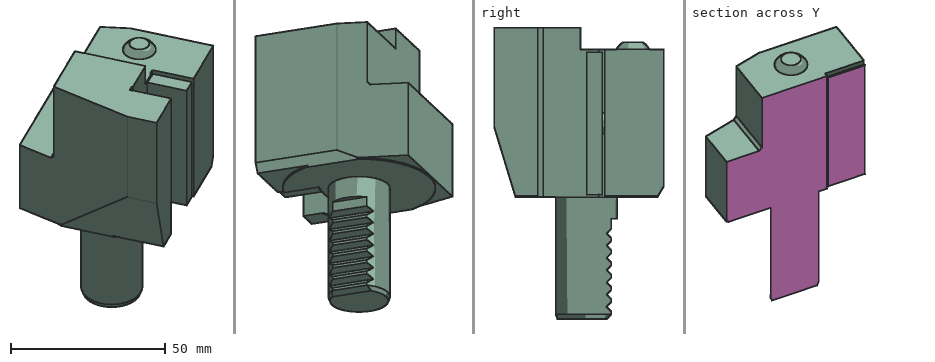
import cadquery as cq
import math

SHANK_DIAMETER = 20.0
TOTAL_HEIGHT = 94.5
HEAD_HEIGHT = 55.0
SHANK_LENGTH = TOTAL_HEIGHT - HEAD_HEIGHT
SHANK_CHAMFER_HEIGHT = 1.5
SHANK_CHAMFER_WIDTH = 0.6

HEAD_LENGTH = 51.0
HEAD_WIDTH = 55.0
LEFT_X = -24.95
RIGHT_X = LEFT_X + HEAD_LENGTH
BACK_Y = 25.0
FRONT_Y = BACK_Y - HEAD_WIDTH
LEFT_HALF_WIDTH = 19.0
TAPER_SLOPE = math.tan(math.radians(15))

STEP_X = -12.0
STEP_Z = 25.9
STEP_CHAMFER = 1.0
DECK_Z = 47.9
DECK_FRONT_Y = -1.9

FRONT_BEVEL_WIDTH = 6.9
FRONT_BEVEL_HEIGHT = 22.7
BACK_BEVEL_WIDTH = 2.1
BACK_BEVEL_HEIGHT = 3.5

PAD_RADIUS = 24.8
PAD_HEIGHT = 0.5

SLOT_X = 12.3
SLOT_BACK_Y = 5.9
SLOT_FRONT_Y = -15.9
RELIEF_DEPTH = 0.4
RELIEF_WIDTH = 1.9

PLATE_THICKNESS = 5.0
PLATE_GAP = 0.85
PLATE_END_GAP = 0.3
SCREW_DIAMETER = 6.7
SCREW_X = 19.3

PLUG_X = 4.2
PLUG_Y = 15.0
PLUG_BASE_RADIUS = 5.4
PLUG_TOP_RADIUS = 3.2
PLUG_HEIGHT = 2.4

FLAT_Y = 8.0
FLAT_TOP_Z = -7.0
TOOTH_PITCH = 4.0
FIRST_GROOVE_Z = -11.7
GROOVE_COUNT = 8
GROOVE_DEPTH = 1.5
GROOVE_HALF_WIDTH = 1.5


def box_between(low, high):
    """Axis-aligned box given by two opposite corners."""
    size = [b - a for a, b in zip(low, high)]
    return cq.Workplane("XY").box(*size, centered=False).translate(low)


def along_x(points):
    """Prism with a YZ outline that spans the whole head along X."""
    return cq.Workplane("YZ", origin=(LEFT_X, 0, 0)).polyline(points).close().extrude(HEAD_LENGTH)


def make_head():
    back_taper_x = LEFT_X + (BACK_Y - LEFT_HALF_WIDTH) / TAPER_SLOPE
    front_taper_x = LEFT_X + (-FRONT_Y - LEFT_HALF_WIDTH) / TAPER_SLOPE
    outline = [
        (LEFT_X, LEFT_HALF_WIDTH),
        (back_taper_x, BACK_Y),
        (RIGHT_X, BACK_Y),
        (RIGHT_X, FRONT_Y),
        (front_taper_x, FRONT_Y),
        (LEFT_X, -LEFT_HALF_WIDTH),
    ]
    head = cq.Workplane("XY").polyline(outline).close().extrude(HEAD_HEIGHT)

    step = [
        (LEFT_X, STEP_Z),
        (STEP_X - STEP_CHAMFER, STEP_Z),
        (STEP_X, STEP_Z + STEP_CHAMFER),
        (STEP_X, HEAD_HEIGHT),
        (LEFT_X, HEAD_HEIGHT),
    ]
    head = head.cut(cq.Workplane("XZ", origin=(0, BACK_Y, 0)).polyline(step).close().extrude(HEAD_WIDTH))
    head = head.cut(box_between((LEFT_X, DECK_FRONT_Y, DECK_Z), (RIGHT_X, BACK_Y, HEAD_HEIGHT)))

    head = head.cut(along_x([(FRONT_Y, 0), (FRONT_Y + FRONT_BEVEL_WIDTH, 0), (FRONT_Y, FRONT_BEVEL_HEIGHT)]))
    head = head.cut(along_x([(BACK_Y, 0), (BACK_Y - BACK_BEVEL_WIDTH, 0), (BACK_Y, BACK_BEVEL_HEIGHT)]))

    around_pad = box_between((LEFT_X, FRONT_Y, 0), (RIGHT_X, BACK_Y, PAD_HEIGHT))
    around_pad = around_pad.cut(cq.Workplane("XY").circle(PAD_RADIUS).extrude(PAD_HEIGHT))
    return head.cut(around_pad)


def make_slot():
    slot = box_between((SLOT_X, SLOT_FRONT_Y, 0), (RIGHT_X, SLOT_BACK_Y, HEAD_HEIGHT))
    for relief_y in (SLOT_FRONT_Y, SLOT_BACK_Y - RELIEF_WIDTH):
        low = (SLOT_X - RELIEF_DEPTH, relief_y, 0)
        high = (SLOT_X, relief_y + RELIEF_WIDTH, HEAD_HEIGHT)
        slot = slot.union(box_between(low, high))
    return slot


def make_clamp():
    plate_back_y = SLOT_BACK_Y - PLATE_GAP
    plate = box_between(
        (SLOT_X, plate_back_y - PLATE_THICKNESS, PLATE_GAP),
        (RIGHT_X - PLATE_END_GAP, plate_back_y, DECK_Z - PLATE_GAP),
    )
    screw_base = cq.Workplane("XZ", origin=(SCREW_X, SLOT_BACK_Y, DECK_Z / 2))
    return plate.union(screw_base.circle(SCREW_DIAMETER / 2).extrude(PLATE_GAP))


def make_plug():
    centre_depth = (PLUG_BASE_RADIUS**2 - PLUG_TOP_RADIUS**2 - PLUG_HEIGHT**2) / (2 * PLUG_HEIGHT)
    sphere_radius = math.hypot(PLUG_BASE_RADIUS, centre_depth)
    mid_height = PLUG_HEIGHT / 2
    mid_radius = math.sqrt(sphere_radius**2 - (centre_depth + mid_height) ** 2)
    profile = (
        cq.Workplane("XZ")
        .lineTo(PLUG_BASE_RADIUS, 0)
        .threePointArc((mid_radius, mid_height), (PLUG_TOP_RADIUS, PLUG_HEIGHT))
        .lineTo(0, PLUG_HEIGHT)
        .close()
    )
    return profile.revolve(360, (0, 0, 0), (0, 1, 0)).translate((PLUG_X, PLUG_Y, DECK_Z))


def make_shank():
    radius = SHANK_DIAMETER / 2
    shank = cq.Workplane("XY", origin=(0, 0, PAD_HEIGHT)).circle(radius).extrude(-SHANK_LENGTH - PAD_HEIGHT)
    shank = shank.faces("<Z").chamfer(SHANK_CHAMFER_HEIGHT, SHANK_CHAMFER_WIDTH)
    shank = shank.cut(box_between((-radius, FLAT_Y, -SHANK_LENGTH), (radius, radius, FLAT_TOP_Z)))
    for index in range(GROOVE_COUNT):
        groove_z = FIRST_GROOVE_Z - index * TOOTH_PITCH
        groove = [
            (FLAT_Y, groove_z + GROOVE_HALF_WIDTH),
            (FLAT_Y - GROOVE_DEPTH, groove_z),
            (FLAT_Y, groove_z - GROOVE_HALF_WIDTH),
        ]
        shank = shank.cut(along_x(groove))
    return shank


result = make_head().cut(make_slot()).union(make_clamp()).union(make_plug()).union(make_shank())